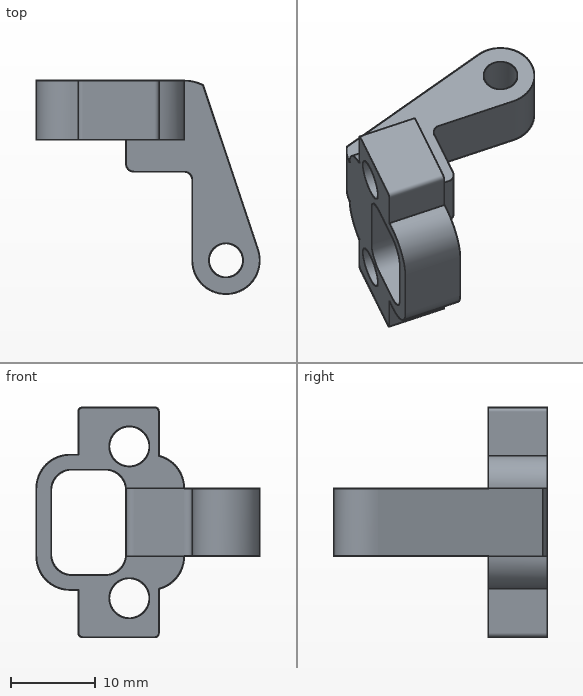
import cadquery as cq
import math

height = 27.15
plate_thickness = 7.0

ring_width = 17.5
ring_height = 16.0
ring_radius = ring_height / 4
wall = 1.8
window_width = 8.8
window_height = ring_height - 2 * wall
window_radius = 2.4

tab_left = 4.97
tab_width = 9.53
tab_radius = 0.52
screw_x = 11.0
screw_z = 8.95
screw_diameter = 4.7

arm_height = ring_height / 2
arm_left = wall + window_width
arm_inner_x = 18.41
shoulder_y = -10.78
shoulder_radius = 0.95
eye_radius = arm_height / 2
eye_x = arm_inner_x + eye_radius
eye_y = -21.25
pivot_diameter = 4.0
heel_x = 19.72
heel_y = -0.55


def plate_block(width, block_height, left, corner_radius):
    """Rounded rectangle extruded through the plate thickness, centred on Z = 0."""
    return (
        cq.Workplane("XY")
        .box(width, plate_thickness, block_height)
        .edges("|Y")
        .fillet(corner_radius)
        .translate((left + width / 2, -plate_thickness / 2, 0))
    )


def make_arm():
    reach = math.hypot(heel_x - eye_x, heel_y - eye_y)
    heel_direction = math.atan2(heel_y - eye_y, heel_x - eye_x)
    tangent_angle = heel_direction - math.acos(eye_radius / reach)
    tangent_point = (
        eye_x + eye_radius * math.cos(tangent_angle),
        eye_y + eye_radius * math.sin(tangent_angle),
    )
    profile = (
        cq.Workplane("XY")
        .workplane(offset=-arm_height / 2)
        .moveTo(arm_left, 0)
        .lineTo(ring_width, 0)
        .tangentArcPoint((heel_x, heel_y), relative=False)
        .lineTo(*tangent_point)
        .threePointArc((eye_x, eye_y - eye_radius), (arm_inner_x, eye_y))
        .lineTo(arm_inner_x, shoulder_y)
        .lineTo(arm_left, shoulder_y)
        .close()
    )
    arm = profile.extrude(arm_height)
    for corner_x in (arm_left, arm_inner_x):
        corner = cq.selectors.NearestToPointSelector((corner_x, shoulder_y, 0))
        arm = arm.edges("|Z").edges(corner).fillet(shoulder_radius)
    pivot = (
        cq.Workplane("XY")
        .center(eye_x, eye_y)
        .circle(pivot_diameter / 2)
        .extrude(arm_height, both=True)
    )
    return arm.cut(pivot)


ring = plate_block(ring_width, ring_height, 0, ring_radius)
tab = plate_block(tab_width, height, tab_left, tab_radius)
window = plate_block(window_width, window_height, wall, window_radius)
screw_holes = (
    cq.Workplane("XZ")
    .pushPoints([(screw_x, screw_z), (screw_x, -screw_z)])
    .circle(screw_diameter / 2)
    .extrude(plate_thickness)
)

result = ring.union(tab).cut(window).cut(screw_holes).union(make_arm())